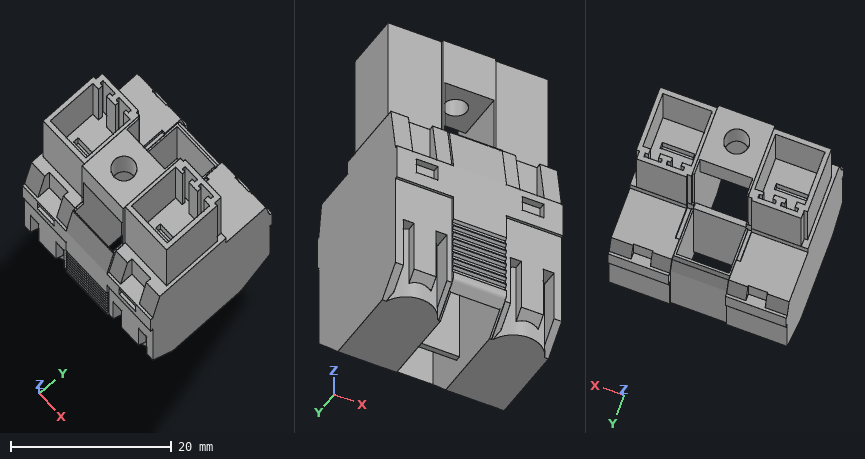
import cadquery as cq

HEIGHT = 45.0
HALF_WIDTH = 11.9
FRONT_Y = -10.3
BACK_Y = -FRONT_Y
BAND_PROUD = 0.35
BAND_BOTTOM_Z = 17.35
BAND_TOP_Z = 22.4

BLOCK_FRONT_Y = FRONT_Y + BAND_PROUD
BLOCK_BACK_Y = BACK_Y - BAND_PROUD
SHOULDER_Z = 29.15
SHOULDER_FRONT_Y = -8.78
SHOULDER_BACK_Y = 2.48
REAR_TOP_Z = 27.25
REAR_TOP_Y = 9.23
FRONT_CHAMFER_Z = 3.6
FRONT_CHAMFER_END_Y = -6.53
BACK_CHAMFER_Z = 4.95
POLE_X = 7.65

FRONT_RECESS_WIDTH = 3.45
FRONT_RECESS_FLOOR_Y = -8.0
BACK_RECESS_WIDTH = 2.55
BACK_RECESS_FLOOR_Y = 9.05
WINDOW_CENTER_X = 7.55
WINDOW_WIDTH = 3.05
WINDOW_BOTTOM_Z = 19.17
WINDOW_TOP_Z = 21.4
WINDOW_DEPTH = 0.95

BOSS_RADIUS = 3.95
BOSS_Y = -5.0
BOSS_TOP_Z = 11.05
SLOT_WIDTH = 1.55
SLOT_OFFSET_X = 2.35

FRAME_HALF_WIDTH = 3.8
FRAME_WALL = 0.25
VOID_HALF_WIDTH = FRAME_HALF_WIDTH - FRAME_WALL
PLATE_INNER_Y = -9.05
PLATE_TIP_Y = -9.2
PLATE_TOP_Z = 28.85
FRAME_TOP_Z = 29.0
FRAME_TOP_FRONT_Y = -8.65
CROSS_WALL_FRONT_Y = 1.4
CROSS_WALL_BACK_Y = 2.15
REAR_FRAME_TOP_Z = 26.8
REAR_PLATE_INNER_Y = 8.3
REAR_PLATE_TOP_Y = 8.6
REAR_BEVEL = 0.45
REAR_PLATE_Y = 9.68
FRAME_BOTTOM_Z = 2.8
FRAME_CHAMFER_Z = 3.75
LAND_BOTTOM_Z = 4.5
FOOT_SETBACK = 0.1

GROOVE_COUNT = 8
GROOVE_ROW_SPAN = 7.65
GROOVE_PITCH = GROOVE_ROW_SPAN / (GROOVE_COUNT - 1)
GROOVE_TOP_Z = 13.75
GROOVE_DEPTH = 0.3
GROOVE_FLOOR = 0.35

FLANGE_FRONT_Y = -7.55
FLANGE_BACK_Y = -0.23
FLANGE_WALL_BACK_Y = 1.85
FLANGE_BOTTOM_Z = 38.12
SCREW_HOLE_RADIUS = 1.6
SCREW_HOLE_Y = -3.95

INNER_NOTCH_WIDTH = 0.55
INNER_NOTCH_Y = 2.15
POCKET_BACK_Y = 6.5
POCKET_DEPTH = 0.9

SOCKET_OUTER_X = 11.45
SOCKET_FRONT_Y = -7.2
SOCKET_FLOOR_THICKNESS = 2.25
SOCKET_FLOOR_Z = SHOULDER_Z + SOCKET_FLOOR_THICKNESS
OUTER_NOTCH_WIDTH = 0.45
OUTER_NOTCH_Y = 1.4
CAVITY_OUTER_X = 10.8
CAVITY_INNER_X = 4.25
CAVITY_FRONT_Y = -6.53
OUTER_LIP_Y = 0.68
RIB_FRONT_Y = 0.8
INNER_LIP_Y = 0.95
KEYWAY_FRONT_Y = 1.4
KEYWAY_BACK_Y = 1.85
KEYWAY_LEDGE = 0.45
OUTER_KEYWAY_X = (10.2, 7.95)
INNER_KEYWAY_X = (7.25, 5.0)
CONTACT_SLOT_X = 7.6
CONTACT_SLOT_Y = -3.15
CONTACT_SLOT_WIDTH = 4.3
CONTACT_SLOT_THICKNESS = 0.75

SIDES = (-1, 1)


def box(x_range, y_range, z_range):
    """Box between two limits along each axis, given in any order."""
    x0, x1 = sorted(x_range)
    y0, y1 = sorted(y_range)
    z0, z1 = sorted(z_range)
    return cq.Workplane("XY").box(x1 - x0, y1 - y0, z1 - z0, centered=False).translate((x0, y0, z0))


def centered_span(center, width):
    return (center - width / 2, center + width / 2)


def side_block(side):
    """One side block: its depth-height outline with a band at the back, extruded along X."""
    outline = [
        (FRONT_CHAMFER_END_Y, 0),
        (BLOCK_FRONT_Y, FRONT_CHAMFER_Z),
        (BLOCK_FRONT_Y, BAND_TOP_Z),
        (SHOULDER_FRONT_Y, SHOULDER_Z),
        (SHOULDER_BACK_Y, SHOULDER_Z),
        (SHOULDER_BACK_Y, REAR_TOP_Z),
        (REAR_TOP_Y, REAR_TOP_Z),
        (BLOCK_BACK_Y, BAND_TOP_Z),
        (BACK_Y, BAND_TOP_Z),
        (BACK_Y, BAND_BOTTOM_Z),
        (BLOCK_BACK_Y, BAND_BOTTOM_Z),
        (BLOCK_BACK_Y, BACK_CHAMFER_Z),
        (BLOCK_BACK_Y - BACK_CHAMFER_Z, 0),
    ]
    start_x = FRAME_HALF_WIDTH if side > 0 else -HALF_WIDTH
    block = cq.Workplane("YZ").polyline(outline).close().extrude(HALF_WIDTH - FRAME_HALF_WIDTH)
    return block.translate((start_x, 0, 0))


def front_band():
    """Clip band across the whole front."""
    return box((-HALF_WIDTH, HALF_WIDTH), (FRONT_Y, PLATE_INNER_Y), (BAND_BOTTOM_Z, BAND_TOP_Z))


def clip_cuts(side):
    """Recesses above the front and back bands, the band window and the rear-top pocket of one side."""
    pole_x = side * POLE_X
    front_recess = box(
        centered_span(pole_x, FRONT_RECESS_WIDTH),
        (BLOCK_FRONT_Y, FRONT_RECESS_FLOOR_Y),
        (BAND_TOP_Z, SHOULDER_Z),
    )
    back_recess = box(
        centered_span(pole_x, BACK_RECESS_WIDTH),
        (BACK_RECESS_FLOOR_Y, BLOCK_BACK_Y),
        (BAND_TOP_Z, REAR_TOP_Z),
    )
    window = box(
        centered_span(side * WINDOW_CENTER_X, WINDOW_WIDTH),
        (FRONT_Y, FRONT_Y + WINDOW_DEPTH),
        (WINDOW_BOTTOM_Z, WINDOW_TOP_Z),
    )
    pocket = box(
        (side * FRAME_HALF_WIDTH, side * (FRAME_HALF_WIDTH + INNER_NOTCH_WIDTH)),
        (INNER_NOTCH_Y, POCKET_BACK_Y),
        (REAR_TOP_Z - POCKET_DEPTH, SHOULDER_Z),
    )
    return front_recess.union(back_recess).union(window).union(pocket)


def boss(side):
    """Round boss that stands out below the front chamfer."""
    return cq.Workplane("XY").center(side * POLE_X, BOSS_Y).circle(BOSS_RADIUS).extrude(BOSS_TOP_Z)


def boss_slots(side):
    """Pair of upright front slots that reach back to the boss surface."""
    slots = cq.Workplane("XY")
    for offset in (-SLOT_OFFSET_X, SLOT_OFFSET_X):
        slot_x = centered_span(side * POLE_X + offset, SLOT_WIDTH)
        slots = slots.add(box(slot_x, (FRONT_Y, BOSS_Y), (0, BOSS_TOP_Z)))
    return slots.combine().cut(boss(side))


def frame_body():
    """Solid middle frame with the sloped front plate, rounded grip foot and bevelled rear plate."""
    chamfer_run = PLATE_INNER_Y - BLOCK_FRONT_Y
    chamfer_slope = chamfer_run / (FRAME_CHAMFER_Z - FRAME_BOTTOM_Z)
    chamfer_end_y = BLOCK_FRONT_Y + FRAME_CHAMFER_Z * chamfer_slope
    foot_middle = (FRONT_Y + FOOT_SETBACK, (LAND_BOTTOM_Z + FRAME_CHAMFER_Z) / 2)
    rear_bevel_y = REAR_PLATE_TOP_Y + REAR_BEVEL
    return (
        cq.Workplane("YZ")
        .moveTo(chamfer_end_y, 0)
        .lineTo(BLOCK_FRONT_Y, FRAME_CHAMFER_Z)
        .threePointArc(foot_middle, (FRONT_Y, LAND_BOTTOM_Z))
        .lineTo(FRONT_Y, BAND_TOP_Z)
        .lineTo(PLATE_TIP_Y, PLATE_TOP_Z)
        .lineTo(PLATE_INNER_Y, PLATE_TOP_Z)
        .lineTo(FRAME_TOP_FRONT_Y, FRAME_TOP_Z)
        .lineTo(CROSS_WALL_BACK_Y, FRAME_TOP_Z)
        .lineTo(CROSS_WALL_BACK_Y, REAR_FRAME_TOP_Z)
        .lineTo(REAR_PLATE_TOP_Y, REAR_FRAME_TOP_Z)
        .lineTo(rear_bevel_y, REAR_FRAME_TOP_Z - REAR_BEVEL)
        .lineTo(REAR_PLATE_Y, BAND_TOP_Z)
        .lineTo(REAR_PLATE_Y, BACK_CHAMFER_Z - (BLOCK_BACK_Y - REAR_PLATE_Y))
        .lineTo(BLOCK_BACK_Y - BACK_CHAMFER_Z, 0)
        .close()
        .extrude(FRAME_HALF_WIDTH, both=True)
    )


def frame_voids():
    """Openings between the frame's thin side walls, and the gap under its cross wall and plates."""
    span = (-VOID_HALF_WIDTH, VOID_HALF_WIDTH)
    front_void = box(span, (PLATE_INNER_Y, CROSS_WALL_FRONT_Y), (0, FRAME_TOP_Z))
    rear_void = box(span, (CROSS_WALL_BACK_Y, REAR_PLATE_INNER_Y), (0, REAR_FRAME_TOP_Z))
    wall_clearance = box(span, (PLATE_INNER_Y, CROSS_WALL_BACK_Y), (REAR_TOP_Z, FRAME_TOP_Z))
    foot_gap = box(span, (FRONT_Y, BACK_Y), (0, FRAME_BOTTOM_Z))
    return front_void.union(rear_void).union(wall_clearance).union(foot_gap)


def grip_grooves():
    """Row of trapezoidal grooves across the front of the middle frame."""
    grooves = cq.Workplane("YZ")
    for index in range(GROOVE_COUNT):
        top_z = GROOVE_TOP_Z - index * GROOVE_PITCH
        floor_top_z = top_z - GROOVE_DEPTH
        floor_bottom_z = floor_top_z - GROOVE_FLOOR
        outline = [
            (FRONT_Y, top_z),
            (FRONT_Y + GROOVE_DEPTH, floor_top_z),
            (FRONT_Y + GROOVE_DEPTH, floor_bottom_z),
            (FRONT_Y, floor_bottom_z - GROOVE_DEPTH),
        ]
        grooves = grooves.add(
            cq.Workplane("YZ").polyline(outline).close().extrude(FRAME_HALF_WIDTH, both=True)
        )
    return grooves.combine()


def screw_flange():
    """Block with a screw hole, carried above the middle frame by two thin walls."""
    flange = box(
        (-FRAME_HALF_WIDTH, FRAME_HALF_WIDTH), (FLANGE_FRONT_Y, FLANGE_WALL_BACK_Y), (FRAME_TOP_Z, HEIGHT)
    )
    span = (-VOID_HALF_WIDTH, VOID_HALF_WIDTH)
    window = box(span, (FLANGE_FRONT_Y, FLANGE_WALL_BACK_Y), (FRAME_TOP_Z, FLANGE_BOTTOM_Z))
    rear_gap = box(span, (FLANGE_BACK_Y, FLANGE_WALL_BACK_Y), (FRAME_TOP_Z, HEIGHT))
    hole = cq.Workplane("XY").center(0, SCREW_HOLE_Y).circle(SCREW_HOLE_RADIUS).extrude(HEIGHT)
    return flange.cut(window).cut(rear_gap).cut(hole)


def make_housing():
    """Housing: two side blocks joined by the middle frame, which carries the screw flange."""
    housing = frame_body().cut(grip_grooves())
    for side in SIDES:
        housing = housing.union(side_block(side))
    housing = housing.union(front_band()).cut(frame_voids())
    for side in SIDES:
        housing = housing.cut(clip_cuts(side)).cut(boss_slots(side)).union(boss(side))
    return housing.union(screw_flange()).solids()


def socket_cavity():
    """Inside of a socket on the +X side, with a rib between two undercut keyways at the back."""
    outer_keyway_outer_x, outer_keyway_inner_x = OUTER_KEYWAY_X
    inner_keyway_outer_x, inner_keyway_inner_x = INNER_KEYWAY_X
    outline = [
        (CAVITY_INNER_X, CAVITY_FRONT_Y),
        (CAVITY_OUTER_X, CAVITY_FRONT_Y),
        (CAVITY_OUTER_X, OUTER_LIP_Y),
        (outer_keyway_outer_x - KEYWAY_LEDGE, OUTER_LIP_Y),
        (outer_keyway_outer_x - KEYWAY_LEDGE, KEYWAY_FRONT_Y),
        (outer_keyway_outer_x, KEYWAY_FRONT_Y),
        (outer_keyway_outer_x, KEYWAY_BACK_Y),
        (outer_keyway_inner_x, KEYWAY_BACK_Y),
        (outer_keyway_inner_x, KEYWAY_FRONT_Y),
        (outer_keyway_inner_x + KEYWAY_LEDGE, KEYWAY_FRONT_Y),
        (outer_keyway_inner_x + KEYWAY_LEDGE, RIB_FRONT_Y),
        (inner_keyway_outer_x - KEYWAY_LEDGE, RIB_FRONT_Y),
        (inner_keyway_outer_x - KEYWAY_LEDGE, KEYWAY_FRONT_Y),
        (inner_keyway_outer_x, KEYWAY_FRONT_Y),
        (inner_keyway_outer_x, KEYWAY_BACK_Y),
        (inner_keyway_inner_x, KEYWAY_BACK_Y),
        (inner_keyway_inner_x, KEYWAY_FRONT_Y),
        (inner_keyway_inner_x + KEYWAY_LEDGE, KEYWAY_FRONT_Y),
        (inner_keyway_inner_x + KEYWAY_LEDGE, INNER_LIP_Y),
        (CAVITY_INNER_X, INNER_LIP_Y),
    ]
    cavity = cq.Workplane("XY").polyline(outline).close().extrude(HEIGHT - SOCKET_FLOOR_Z)
    return cavity.translate((0, 0, SOCKET_FLOOR_Z))


def make_socket(side):
    """Socket standing on one shoulder, with notched back corners and a contact slot in its floor."""
    z_range = (SHOULDER_Z, HEIGHT)
    socket = box((FRAME_HALF_WIDTH, SOCKET_OUTER_X), (SOCKET_FRONT_Y, SHOULDER_BACK_Y), z_range)
    outer_notch = box(
        (SOCKET_OUTER_X - OUTER_NOTCH_WIDTH, SOCKET_OUTER_X), (OUTER_NOTCH_Y, SHOULDER_BACK_Y), z_range
    )
    inner_notch = box(
        (FRAME_HALF_WIDTH, FRAME_HALF_WIDTH + INNER_NOTCH_WIDTH), (INNER_NOTCH_Y, SHOULDER_BACK_Y), z_range
    )
    contact_slot = box(
        centered_span(CONTACT_SLOT_X, CONTACT_SLOT_WIDTH),
        centered_span(CONTACT_SLOT_Y, CONTACT_SLOT_THICKNESS),
        (SHOULDER_Z, SOCKET_FLOOR_Z),
    )
    socket = socket.cut(outer_notch).cut(inner_notch).cut(socket_cavity()).cut(contact_slot)
    return socket if side > 0 else socket.mirror("YZ")


housing = make_housing()
sockets = [make_socket(side) for side in SIDES]
result = cq.Compound.makeCompound([housing.val(), *[socket.val() for socket in sockets]])